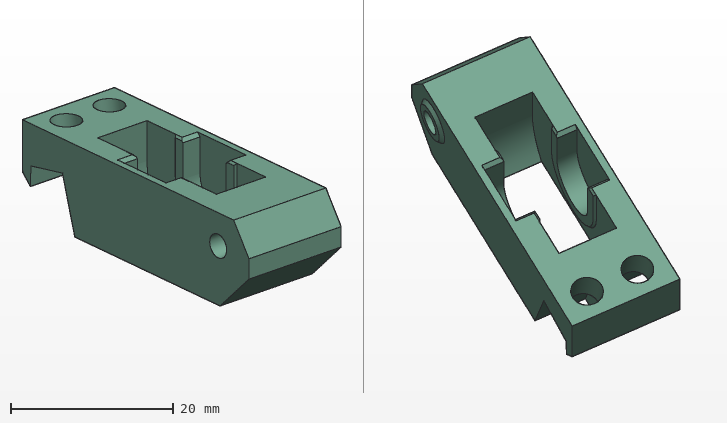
import cadquery as cq
import math

length = 43.0
width = 15.0
height = 12.5
mid_y = width / 2
bottom_chamfer = 5.5
nose_chamfer_x = 2.9
nose_chamfer_z = 4.25

axle_x = 21.5
axle_z = 7.0
wheel_radius = 11.25
well_width = 8.0

slot_radius = 4.1
slot_span = 13.0
slot_chamfer = 0.5

pad_radius = 5.85
pad_height = 0.3

screw_tilt = math.radians(10)
screw_diameter = 4.0
screw_x = 3.7
screw_spacing = 7.0
notch_inner_x = 7.6
notch_inner_z = 7.85
notch_outer_x = 1.65
notch_foot_x = 9.95
notch_lip_lean = math.radians(2.3)
web_thickness = 1.0

pivot_x = 37.15
pivot_z = 8.0
pivot_diameter = 3.2
pivot_boss_diameter = 6.0
pivot_boss_height = 0.5

rim_slope = 45
overcut = 1.0


def side_plane(y):
    """XZ sketch plane at the given y, extruding toward +Y."""
    return cq.Workplane(cq.Plane(origin=(0, y, 0), xDir=(1, 0, 0), normal=(0, 1, 0)))


def side_sketch(y, points):
    """Closed outline of (x, z) points at the given y; the plane's own Y axis is -Z."""
    return side_plane(y).polyline([(x, -z) for x, z in points]).close()


def make_body():
    outline = [
        (bottom_chamfer, 0),
        (length - bottom_chamfer, 0),
        (length, bottom_chamfer),
        (length, height - nose_chamfer_z),
        (length - nose_chamfer_x, height),
        (0, height),
        (0, bottom_chamfer),
    ]
    return side_sketch(0, outline).extrude(width)


def round_bottom_outline(y, radius, top_z):
    """Upright U shape: a half circle about the axle with straight sides up to top_z."""
    return (
        side_plane(y)
        .moveTo(axle_x - radius, -top_z)
        .lineTo(axle_x - radius, -axle_z)
        .threePointArc((axle_x, radius - axle_z), (axle_x + radius, -axle_z))
        .lineTo(axle_x + radius, -top_z)
        .close()
    )


def make_wheel_well():
    return round_bottom_outline(mid_y - well_width / 2, wheel_radius, height + overcut).extrude(well_width)


def make_thrust_pads():
    """Both pads; their rims slope inward at 45 degrees from the well walls."""
    pad_start = mid_y - well_width / 2
    pad = round_bottom_outline(pad_start, pad_radius, height).extrude(pad_height, taper=rim_slope)
    return pad.union(pad.mirror("XZ", (0, mid_y, 0)))


def make_axle_slots():
    slot_start = mid_y - slot_span / 2
    slots = round_bottom_outline(slot_start, slot_radius, height + overcut).extrude(slot_span)
    mouth = [
        (axle_x - slot_radius, height - slot_chamfer),
        (axle_x + slot_radius, height - slot_chamfer),
        (axle_x + slot_radius + slot_chamfer, height),
        (axle_x - slot_radius - slot_chamfer, height),
    ]
    return slots.union(side_sketch(slot_start, mouth).extrude(slot_span))


def make_notch():
    """Tool for both halves of the clamp notch, leaving the web between them."""
    notch_outer_z = notch_inner_z - (notch_inner_x - notch_outer_x) * math.tan(screw_tilt)
    lip_foot_x = notch_outer_x - notch_outer_z * math.tan(notch_lip_lean)
    outline = [
        (lip_foot_x, 0),
        (notch_outer_x, notch_outer_z),
        (notch_inner_x, notch_inner_z),
        (notch_foot_x, 0),
    ]
    half_width = (width - web_thickness) / 2
    front_half = side_sketch(0, outline).extrude(half_width)
    back_half = side_sketch(width - half_width, outline).extrude(half_width)
    return front_half.union(back_half)


def make_screw_holes():
    """Two tilted holes running from above the top face down into the notch."""
    down = cq.Vector(math.sin(screw_tilt), 0, -math.cos(screw_tilt))
    holes = cq.Workplane()
    for side in (-1, 1):
        entry = cq.Vector(screw_x, mid_y + side * screw_spacing / 2, height)
        start = entry - down * overcut
        holes = holes.add(cq.Solid.makeCylinder(screw_diameter / 2, height / 2 + overcut, start, down))
    return holes.combine()


def make_pivot_boss():
    """Low boss whose rim slopes inward at 45 degrees."""
    boss = side_plane(width).center(pivot_x, -pivot_z).circle(pivot_boss_diameter / 2)
    return boss.extrude(pivot_boss_height, taper=rim_slope)


def make_pivot_hole():
    hole = side_plane(0).center(pivot_x, -pivot_z).circle(pivot_diameter / 2)
    return hole.extrude(width + pivot_boss_height)


result = (
    make_body()
    .cut(make_wheel_well())
    .union(make_thrust_pads())
    .cut(make_axle_slots())
    .cut(make_notch())
    .cut(make_screw_holes())
    .union(make_pivot_boss())
    .cut(make_pivot_hole())
)